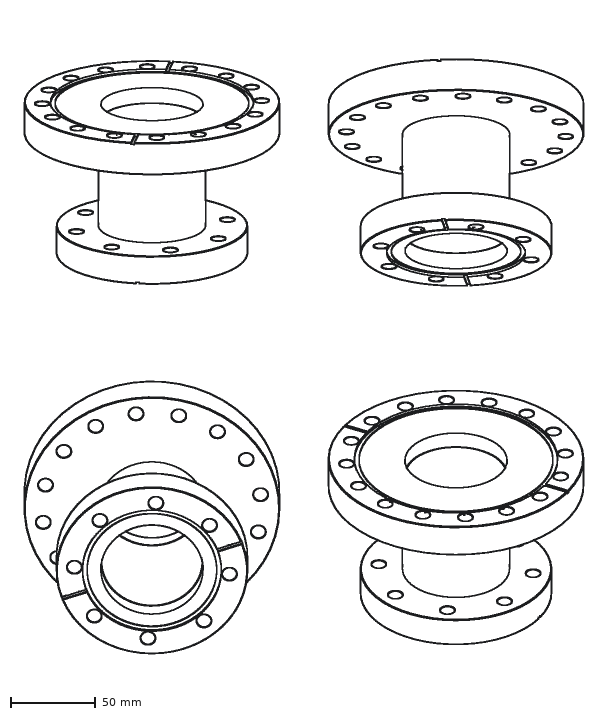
import cadquery as cq
import math

TOTAL_LENGTH = 95.0
TOP_FACE = TOTAL_LENGTH / 2
RIM_CHAMFER = 0.5

TUBE_OUTER_DIAMETER = 63.7
TUBE_INNER_DIAMETER = 59.7
SOCKET_FLOOR_DEPTH = 11.0

FLANGE_BORE_DIAMETER = 60.6
BOLT_HOLE_DIAMETER = 8.5
BOLT_HOLE_CHAMFER = 0.3
GROOVE_ANGLE = 131.8
GROOVE_WIDTH = 2.0
GROOVE_DEPTH = 1.0

KNIFE_RING_WIDTH = 2.7
KNIFE_TIP_DEPTH = 0.6
KNIFE_SLOPE = 20.0
KNIFE_FLOOR_DEPTH = 1.4

LARGE_DIAMETER = 151.6
LARGE_THICKNESS = 19.9
LARGE_RECESS_DIAMETER = 120.7
LARGE_BOLT_CIRCLE = 130.4
LARGE_BOLT_COUNT = 16

SMALL_DIAMETER = 113.5
SMALL_THICKNESS = 17.6
SMALL_RECESS_DIAMETER = 82.5
SMALL_BOLT_CIRCLE = 92.2
SMALL_BOLT_COUNT = 8


def revolve_profile(points):
    """Turn a closed (radius, height) outline about the Z axis."""
    return cq.Workplane("XZ").polyline(points).close().revolve(360, (0, 0), (0, 1))


def make_blank(diameter, thickness, recess_diameter):
    """Flange turned without bolt holes: sealing face at Z = 0, back face below it."""
    rim = diameter / 2
    recess = recess_diameter / 2
    tip = recess - KNIFE_RING_WIDTH
    bore = FLANGE_BORE_DIAMETER / 2
    socket = TUBE_OUTER_DIAMETER / 2
    trough_depth = KNIFE_TIP_DEPTH + KNIFE_RING_WIDTH * math.tan(math.radians(KNIFE_SLOPE))
    return revolve_profile([
        (rim - RIM_CHAMFER, 0),
        (rim, -RIM_CHAMFER),
        (rim, RIM_CHAMFER - thickness),
        (rim - RIM_CHAMFER, -thickness),
        (socket, -thickness),
        (socket, -SOCKET_FLOOR_DEPTH),
        (bore, -SOCKET_FLOOR_DEPTH),
        (bore, -KNIFE_FLOOR_DEPTH),
        (tip, -KNIFE_FLOOR_DEPTH),
        (tip, -KNIFE_TIP_DEPTH),
        (recess, -trough_depth),
        (recess, 0),
    ])


def make_bolt_holes(thickness, bolt_circle, bolt_count):
    """Through holes chamfered at both faces; a groove lies midway between two holes."""
    radius = BOLT_HOLE_DIAMETER / 2
    mouth = radius + BOLT_HOLE_CHAMFER
    cutter = revolve_profile([
        (0, 0),
        (mouth, 0),
        (radius, -BOLT_HOLE_CHAMFER),
        (radius, BOLT_HOLE_CHAMFER - thickness),
        (mouth, -thickness),
        (0, -thickness),
    ]).val()
    pitch = 360 / bolt_count
    places = cq.Workplane("XY").polarArray(bolt_circle / 2, GROOVE_ANGLE + pitch / 2, 360, bolt_count)
    return places.eachpoint(lambda place: cutter.moved(place))


def make_leak_grooves(diameter, recess_diameter):
    """Two opposite radial grooves from the recess wall out through the rim."""
    inner = recess_diameter / 2 - KNIFE_RING_WIDTH / 2
    length = diameter / 2 - inner
    grooves = cq.Workplane("XY")
    for angle in (GROOVE_ANGLE, GROOVE_ANGLE + 180):
        groove = (
            cq.Workplane("XY")
            .box(length, GROOVE_WIDTH, GROOVE_DEPTH, centered=(False, True, False))
            .translate((inner, 0, -GROOVE_DEPTH))
            .rotate((0, 0, 0), (0, 0, 1), angle)
        )
        grooves = grooves.add(groove)
    return grooves.combine()


def make_flange(diameter, thickness, recess_diameter, bolt_circle, bolt_count):
    """Finished flange with its sealing face up at Z = 0."""
    return (
        make_blank(diameter, thickness, recess_diameter)
        .cut(make_bolt_holes(thickness, bolt_circle, bolt_count))
        .cut(make_leak_grooves(diameter, recess_diameter))
    )


def make_tube():
    """Plain pipe reaching to the socket floor of both flanges."""
    length = TOTAL_LENGTH - 2 * SOCKET_FLOOR_DEPTH
    return (
        cq.Workplane("XY")
        .workplane(offset=-length / 2)
        .circle(TUBE_OUTER_DIAMETER / 2)
        .circle(TUBE_INNER_DIAMETER / 2)
        .extrude(length)
    )


large_flange = make_flange(
    LARGE_DIAMETER, LARGE_THICKNESS, LARGE_RECESS_DIAMETER, LARGE_BOLT_CIRCLE, LARGE_BOLT_COUNT
).translate((0, 0, TOP_FACE))

small_flange = make_flange(
    SMALL_DIAMETER, SMALL_THICKNESS, SMALL_RECESS_DIAMETER, SMALL_BOLT_CIRCLE, SMALL_BOLT_COUNT
).mirror("XY").translate((0, 0, -TOP_FACE))

tube = make_tube()

result = cq.Compound.makeCompound([large_flange.val(), tube.val(), small_flange.val()])